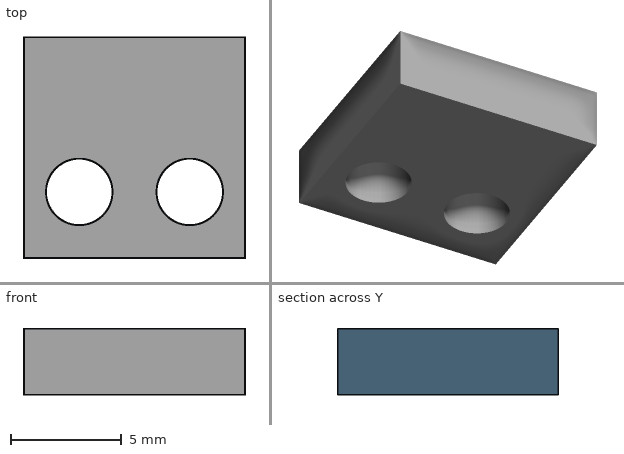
import cadquery as cq

side = 10
thickness = 3

hole_diameter = 3
hole_spacing = side / 2
hole_edge_distance = 3
hole_y = hole_edge_distance - side / 2

plate = cq.Workplane("XY").box(side, side, thickness)

result = (
    plate.faces(">Z")
    .workplane(origin=(0, 0, 0))
    .pushPoints([(-hole_spacing / 2, hole_y), (hole_spacing / 2, hole_y)])
    .hole(hole_diameter)
)